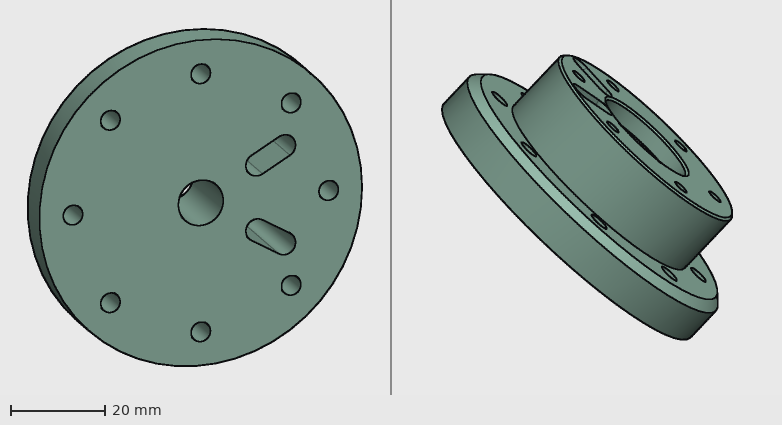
import cadquery as cq
import math

flange_diameter = 72.0
flange_thickness = 10.0
flange_chamfer = 2.0
boss_diameter = 50.0
boss_height = 15.0
boss_chamfer = 0.5

bore_diameter = 10.0
pocket_diameter = 23.05
pocket_depth = 4.0
pocket_chamfer = 0.5
relief_diameter = 22.0
relief_depth = 1.0

rim_hole_count = 8
rim_hole_diameter = 4.3
rim_hole_circle_radius = 28.5

boss_hole_count = 6
boss_hole_diameter = 3.3
boss_hole_circle_radius = 19.5
boss_hole_depth = 10.0
drill_point_angle = 118.0

slot_width = 5.0
slot_inner_radius = 14.5
slot_outer_radius = 21.5
slot_angles = (30.0, -30.0)

total_length = boss_height + flange_thickness
boss_face = -total_length / 2
flange_front = boss_face + boss_height
flange_back = total_length / 2


def cylinder(diameter, start, length):
    """Cylinder around the X axis, running from x = start toward +X."""
    return cq.Workplane("YZ", origin=(start, 0, 0)).circle(diameter / 2).extrude(length)


def hole_centers(count, radius):
    """Evenly spaced (y, z) centers on a circle, the first one on +Y."""
    angles = [2 * math.pi * i / count for i in range(count)]
    return [(radius * math.cos(a), radius * math.sin(a)) for a in angles]


def make_body():
    flange = cylinder(flange_diameter, flange_front, flange_thickness)
    flange = flange.faces("<X").chamfer(flange_chamfer)
    boss = cylinder(boss_diameter, boss_face, boss_height)
    boss = boss.faces("<X").chamfer(boss_chamfer)
    return flange.union(boss)


def make_center_cut():
    """Chamfered pocket, shallow relief below it and the bore."""
    bore_radius = bore_diameter / 2
    pocket_radius = pocket_diameter / 2
    relief_radius = relief_diameter / 2
    pocket_floor = boss_face + pocket_depth
    relief_floor = pocket_floor + relief_depth
    profile = [
        (boss_face, 0),
        (boss_face, pocket_radius + pocket_chamfer),
        (boss_face + pocket_chamfer, pocket_radius),
        (pocket_floor, pocket_radius),
        (pocket_floor, relief_radius),
        (relief_floor, relief_radius),
        (relief_floor, bore_radius),
        (flange_back, bore_radius),
        (flange_back, 0),
    ]
    return cq.Workplane("XY").polyline(profile).close().revolve(360, (0, 0, 0), (1, 0, 0))


def make_rim_holes():
    return (
        cq.Workplane("YZ", origin=(flange_front, 0, 0))
        .pushPoints(hole_centers(rim_hole_count, rim_hole_circle_radius))
        .circle(rim_hole_diameter / 2)
        .extrude(flange_thickness)
    )


def make_boss_holes():
    """Blind holes ending in a drill cone."""
    radius = boss_hole_diameter / 2
    cone_height = radius / math.tan(math.radians(drill_point_angle / 2))
    cone_start = boss_face + boss_hole_depth
    profile = [
        (boss_face, 0),
        (boss_face, radius),
        (cone_start, radius),
        (cone_start + cone_height, 0),
    ]
    drill = cq.Workplane("XY").polyline(profile).close().revolve(360, (0, 0, 0), (1, 0, 0))
    holes = cq.Workplane("XY")
    for y, z in hole_centers(boss_hole_count, boss_hole_circle_radius):
        holes = holes.add(drill.translate((0, y, z)))
    return holes.combine()


def make_slot(angle):
    """Radial slot through the full length, turned by angle from +Y about the X axis."""
    center_radius = (slot_inner_radius + slot_outer_radius) / 2
    slot_length = slot_outer_radius - slot_inner_radius + slot_width
    slot = (
        cq.Workplane("YZ", origin=(boss_face, 0, 0))
        .center(center_radius, 0)
        .slot2D(slot_length, slot_width)
        .extrude(total_length)
    )
    return slot.rotate((0, 0, 0), (1, 0, 0), angle)


result = make_body().cut(make_center_cut()).cut(make_rim_holes()).cut(make_boss_holes())
for slot_angle in slot_angles:
    result = result.cut(make_slot(slot_angle))